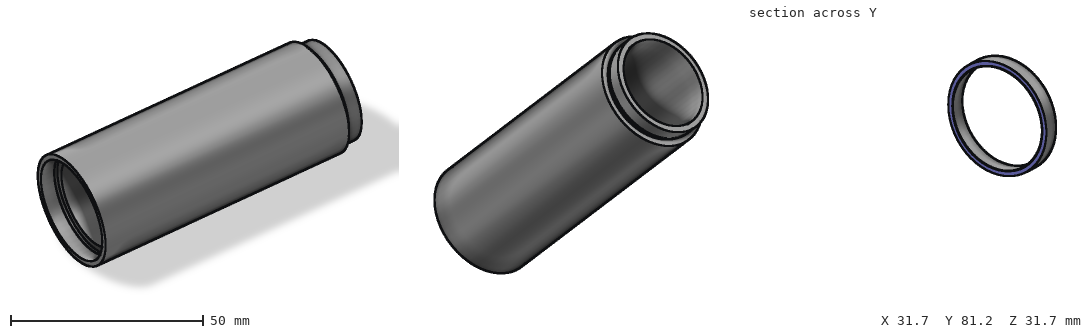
import cadquery as cq

total_length = 81.2
body_diameter = 31.7
bore_diameter = 25.0
joint_diameter = 28.6
spigot_length = 4.0
socket_clearance = 0.2
relief_width = 1.0
neck_relief_depth = 0.25
socket_relief_depth = 0.1

shoulder_offset = spigot_length + relief_width
socket_length = spigot_length + socket_clearance
front_y = -total_length / 2
back_y = total_length / 2


def cylinder(diameter, start_y, length):
    """Solid cylinder on the Y axis, running from start_y toward +Y."""
    plane = cq.Workplane("XZ", origin=(0, start_y, 0))
    return plane.circle(diameter / 2).extrude(-length)


def make_outside():
    """Plain tube body with a necked spigot on the +Y end."""
    neck_diameter = joint_diameter - 2 * neck_relief_depth
    body = cylinder(body_diameter, front_y, total_length - shoulder_offset)
    neck = cylinder(neck_diameter, back_y - shoulder_offset, relief_width)
    spigot = cylinder(joint_diameter, back_y - spigot_length, spigot_length)
    return body.union(neck).union(spigot)


def make_inside():
    """Through bore with a socket and its relief groove at the -Y end."""
    groove_diameter = joint_diameter + 2 * socket_relief_depth
    bore = cylinder(bore_diameter, front_y, total_length)
    socket = cylinder(joint_diameter, front_y, socket_length)
    groove = cylinder(groove_diameter, front_y + socket_length, relief_width)
    return bore.union(socket).union(groove)


result = make_outside().cut(make_inside())